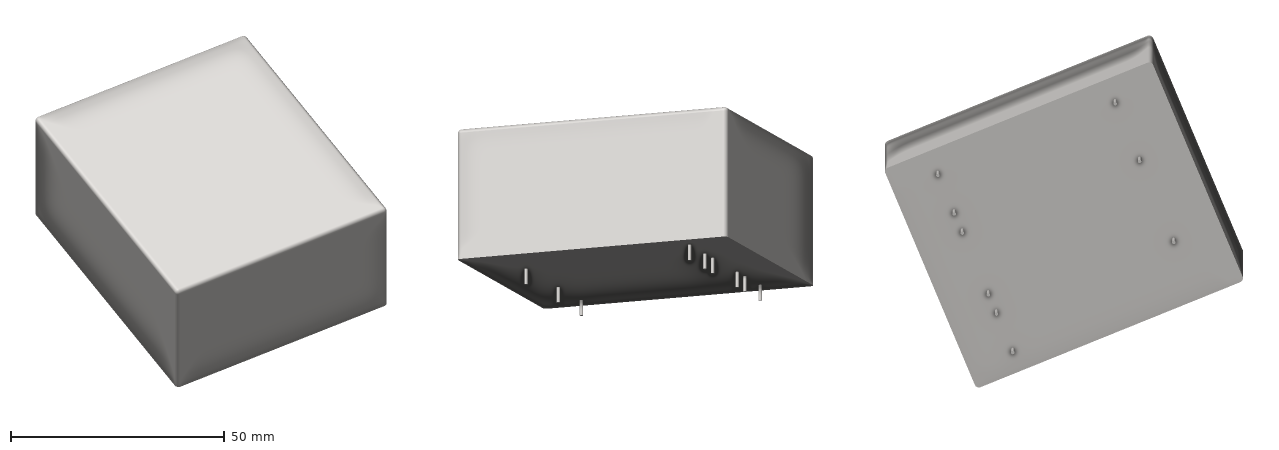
import cadquery as cq

HOUSING_LENGTH = 68.0
HOUSING_WIDTH = 57.0
OVERALL_HEIGHT = 35.0
EDGE_RADIUS = 1.0

PIN_DIAMETER = 0.8
PIN_LENGTH = 3.7
ROW_X = 22.5
PIN_Y_OFFSETS = (8.0, 13.0, 23.0)

HOUSING_HEIGHT = OVERALL_HEIGHT - PIN_LENGTH


def make_housing():
    """Block with rounded upright and top edges and a sharp, flat underside."""
    block = cq.Workplane("XY").box(
        HOUSING_LENGTH, HOUSING_WIDTH, HOUSING_HEIGHT, centered=(True, True, False)
    )
    return block.edges("|Z or >Z").fillet(EDGE_RADIUS)


def make_pin(x, y):
    """Round pin hanging from the underside of the housing."""
    return cq.Workplane("XY").center(x, y).circle(PIN_DIAMETER / 2).extrude(-PIN_LENGTH)


housing = make_housing()

full_row_y = sorted([-y for y in PIN_Y_OFFSETS] + list(PIN_Y_OFFSETS))
sparse_row_y = full_row_y[::2]

pins = []
for row_x, row_y in ((-ROW_X, full_row_y), (ROW_X, sparse_row_y)):
    for pin_y in row_y:
        pins.append(make_pin(row_x, pin_y).val())

result = cq.Compound.makeCompound([housing.val(), *pins])